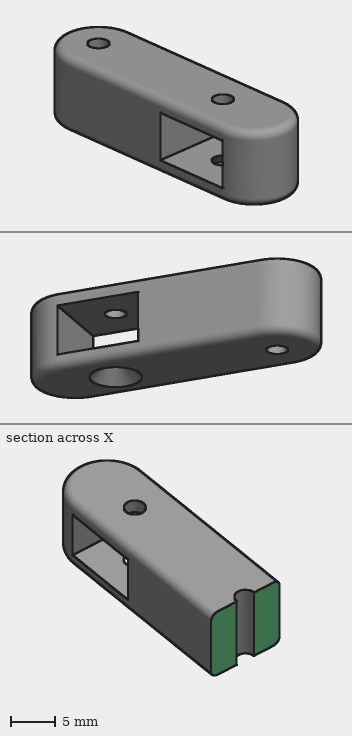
import cadquery as cq

length = 35.0
width = 10.0
height = 9.45
edge_radius = 1.0
hole_diameter = 2.5
window_length = 10.0
window_height = 6.0

end_center_x = (length - width) / 2
window_center_x = end_center_x - window_length / 2

floor_thickness = (height - window_height) / 2
countersink_radius = hole_diameter / 2 + floor_thickness


def rounded_bar():
    """Bar with semicircular ends and rounded top and bottom rims."""
    bar = cq.Workplane("XY").slot2D(length, width).extrude(height / 2, both=True)
    return bar.faces("|Z").edges().fillet(edge_radius)


def side_window():
    """Rectangular opening through the full width, ending where the end arc begins."""
    opening = cq.Workplane("XY").box(window_length, width, window_height)
    return opening.translate((window_center_x, 0, 0))


def pin_holes():
    """Vertical through holes: one on the left end arc's axis, one through the window's middle."""
    centers = [(-end_center_x, 0), (window_center_x, 0)]
    return cq.Workplane("XY").pushPoints(centers).circle(hole_diameter / 2).extrude(height / 2, both=True)


def countersink():
    """Cone opening to the underside, from the window's hole at the window floor."""
    underside = cq.Workplane("XY", origin=(window_center_x, 0, -height / 2))
    wide_end = underside.circle(countersink_radius)
    return wide_end.workplane(offset=floor_thickness).circle(hole_diameter / 2).loft(ruled=True)


result = rounded_bar().cut(side_window()).cut(pin_holes()).cut(countersink())